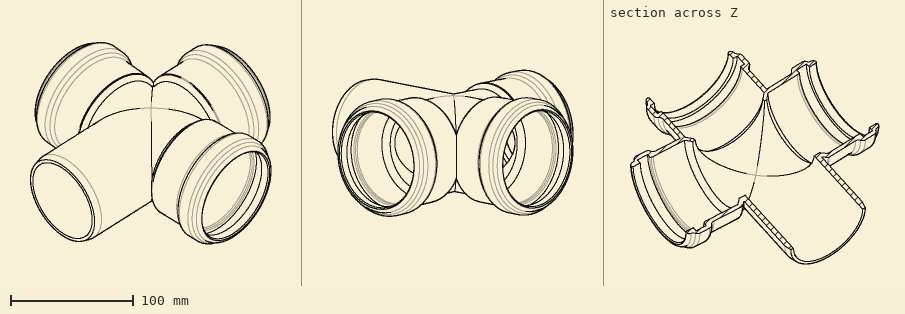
import cadquery as cq
import math

pipe_outer_d = 78.2
pipe_bore_d = 69.2
socket_outer_d = 87.0
mouth_bore_d = 79.0
socket_bore_d = 78.8
lip_outer_d = 87.8
bulge_outer_d = 95.4
groove_d = 87.0

socket_reach = 94.6
spigot_reach = 101.0
branch_angle = 87.5

spigot_taper_length = 6.2
spigot_taper_angle = 15.0

lip_round = 3.0
bulge_front_depth = 8.9
bulge_back_depth = 18.5
bulge_end_depth = 25.4
shoulder_depth = 53.4
seat_depth = 51.0
cone_angle = 45.0
shoulder_round = 1.2
groove_front_depth = 8.0
groove_back_depth = 17.7
groove_round = 1.0
lead_in_depth = 20.6
mouth_bevel = 1.0

pipe_outer_r = pipe_outer_d / 2
pipe_bore_r = pipe_bore_d / 2
socket_outer_r = socket_outer_d / 2
socket_bore_r = socket_bore_d / 2
lip_outer_r = lip_outer_d / 2
bulge_outer_r = bulge_outer_d / 2
mouth_bore_r = mouth_bore_d / 2
groove_r = groove_d / 2


def revolve_about_y(profile):
    """Turn a closed half profile, drawn as (radius, distance along Y), into a solid."""
    return profile.close().revolve(360, (0, 0, 0), (0, 1, 0))


def ease(profile, start, end):
    """Add an S of two equal tangent arcs that leaves and arrives parallel to the axis."""
    middle = ((start[0] + end[0]) / 2, (start[1] + end[1]) / 2)
    return profile.tangentArcPoint(middle, relative=False).tangentArcPoint(end, relative=False)


def socket_envelope():
    """Outside of one socketed arm, along +Y from the crossing point."""
    lip_end = (lip_outer_r, socket_reach - lip_round)
    bulge_front = (bulge_outer_r, socket_reach - bulge_front_depth)
    bulge_back = (bulge_outer_r, socket_reach - bulge_back_depth)
    bulge_end = (socket_outer_r, socket_reach - bulge_end_depth)
    shoulder = socket_reach - shoulder_depth
    cone_length = socket_outer_r - pipe_outer_r
    cone_tangent = shoulder_round * math.tan(math.radians(cone_angle / 2))
    cone_tangent_offset = cone_tangent * math.sqrt(0.5)
    shoulder_round_end = (socket_outer_r - cone_tangent_offset, shoulder - cone_tangent_offset)

    diagonal = lip_round * math.sqrt(0.5)
    lip_middle = (lip_outer_r - lip_round + diagonal, socket_reach - lip_round + diagonal)
    profile = (
        cq.Workplane("XY")
        .moveTo(0, 0)
        .lineTo(0, socket_reach)
        .lineTo(lip_outer_r - lip_round, socket_reach)
        .threePointArc(lip_middle, lip_end)
    )
    profile = ease(profile, lip_end, bulge_front).lineTo(*bulge_back)
    profile = (
        ease(profile, bulge_back, bulge_end)
        .lineTo(socket_outer_r, shoulder + cone_tangent)
        .tangentArcPoint(shoulder_round_end, relative=False)
        .lineTo(pipe_outer_r, shoulder - cone_length)
        .lineTo(pipe_outer_r, 0)
    )
    return revolve_about_y(profile)


def socket_cavity():
    """Inside of one socketed arm: pipe bore, seat cone, socket bore and seal groove."""
    seat = socket_reach - seat_depth
    groove_front = socket_reach - groove_front_depth
    groove_back = socket_reach - groove_back_depth
    lead_in = socket_reach - lead_in_depth
    diagonal = groove_round * math.sqrt(0.5)
    round_centre = (mouth_bore_r + groove_round, groove_back - groove_round)
    round_middle = (round_centre[0] - diagonal, round_centre[1] + diagonal)
    profile = (
        cq.Workplane("XY")
        .moveTo(0, 0)
        .lineTo(pipe_bore_r, 0)
        .lineTo(pipe_bore_r, seat - (socket_bore_r - pipe_bore_r))
        .lineTo(socket_bore_r, seat)
        .lineTo(socket_bore_r, lead_in)
        .lineTo(mouth_bore_r, round_centre[1])
        .threePointArc(round_middle, (round_centre[0], groove_back))
        .lineTo(groove_r, groove_back)
        .lineTo(groove_r, groove_front)
        .lineTo(mouth_bore_r, groove_front)
        .lineTo(mouth_bore_r, socket_reach - mouth_bevel)
        .lineTo(mouth_bore_r + mouth_bevel, socket_reach)
        .lineTo(0, socket_reach)
    )
    return revolve_about_y(profile)


def spigot_envelope():
    """Plain pipe end along -Y with a tapered tip."""
    tip_r = pipe_outer_r - spigot_taper_length * math.tan(math.radians(spigot_taper_angle))
    profile = (
        cq.Workplane("XY")
        .moveTo(0, 0)
        .lineTo(pipe_outer_r, 0)
        .lineTo(pipe_outer_r, spigot_taper_length - spigot_reach)
        .lineTo(tip_r, -spigot_reach)
        .lineTo(0, -spigot_reach)
    )
    return revolve_about_y(profile)


def spigot_cavity():
    """Pipe bore through the spigot."""
    return cq.Workplane("XZ").circle(pipe_bore_r).extrude(spigot_reach)


def turned(body, angle):
    """Swing an arm about Z through the crossing point."""
    return body.rotate((0, 0, 0), (0, 0, 1), angle)


envelope = spigot_envelope()
cavity = spigot_cavity()
for arm_angle in (0, branch_angle, -branch_angle):
    envelope = envelope.union(turned(socket_envelope(), arm_angle))
    cavity = cavity.union(turned(socket_cavity(), arm_angle))

result = envelope.cut(cavity)